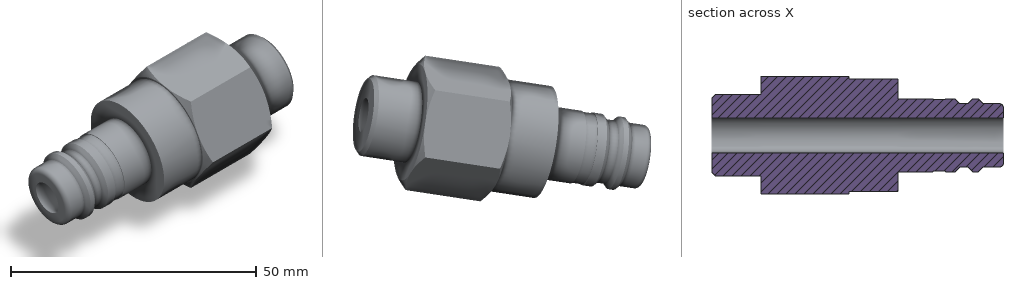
import cadquery as cq
import math

total_length = 59.5
bore_radius = 3.5

tip_round = 1.0
plug_radius = 7.5
neck_radius = 6.55
relief_radius = 7.3
flank_length = plug_radius - neck_radius
rib_start = 4.3
rib_land_length = 1.1
shoulder_start = 9.0
relief_start = 11.9
relief_end = 14.35

collar_start = 21.5
collar_radius = 11.55
hex_start = 31.5
hex_end = 49.5
hex_across_flats = 24.0
hex_chamfer_angle = 30.0
spigot_radius = 8.35
spigot_chamfer = 0.8


def revolve_about_y(profile):
    return profile.close().revolve(360, (0, 0, 0), (0, 1, 0))


def make_turned_body():
    """Solid of revolution from the plug tip to the rear spigot."""
    rib_land_start = rib_start + flank_length
    rib_land_end = rib_land_start + rib_land_length
    round_midpoint = (
        neck_radius - tip_round * (1 - math.sqrt(0.5)),
        tip_round * (1 - math.sqrt(0.5)),
    )
    profile = (
        cq.Workplane("XY")
        .lineTo(neck_radius - tip_round, 0)
        .threePointArc(round_midpoint, (neck_radius, tip_round))
        .lineTo(neck_radius, rib_start)
        .lineTo(plug_radius, rib_land_start)
        .lineTo(plug_radius, rib_land_end)
        .lineTo(neck_radius, rib_land_end + flank_length)
        .lineTo(neck_radius, shoulder_start)
        .lineTo(plug_radius, shoulder_start + flank_length)
        .lineTo(plug_radius, relief_start)
        .lineTo(relief_radius, relief_start)
        .lineTo(relief_radius, relief_end)
        .lineTo(plug_radius, relief_end)
        .lineTo(plug_radius, collar_start)
        .lineTo(collar_radius, collar_start)
        .lineTo(collar_radius, hex_end)
        .lineTo(spigot_radius, hex_end)
        .lineTo(spigot_radius, total_length - spigot_chamfer)
        .lineTo(spigot_radius - spigot_chamfer, total_length)
        .lineTo(0, total_length)
    )
    return revolve_about_y(profile)


def make_hexagon():
    """Hexagon with two corners on the X axis and both ends chamfered."""
    flat_radius = hex_across_flats / 2
    corner_radius = flat_radius / math.cos(math.radians(30))
    chamfer_depth = (corner_radius - flat_radius) * math.tan(math.radians(hex_chamfer_angle))
    prism = (
        cq.Workplane("XZ", origin=(0, hex_start, 0))
        .polygon(6, 2 * corner_radius)
        .extrude(hex_start - hex_end)
    )
    envelope = revolve_about_y(
        cq.Workplane("XY")
        .moveTo(0, hex_start)
        .lineTo(flat_radius, hex_start)
        .lineTo(corner_radius, hex_start + chamfer_depth)
        .lineTo(corner_radius, hex_end - chamfer_depth)
        .lineTo(flat_radius, hex_end)
        .lineTo(0, hex_end)
    )
    return prism.intersect(envelope)


def make_bore():
    return cq.Workplane("XZ").circle(bore_radius).extrude(-total_length)


result = make_turned_body().union(make_hexagon()).cut(make_bore())